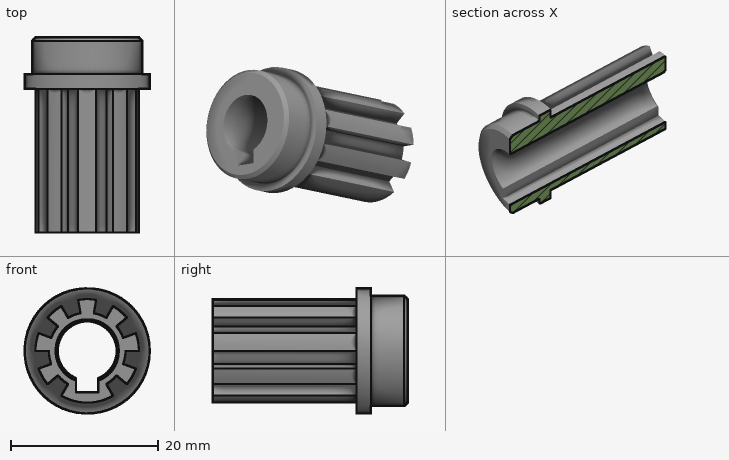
import cadquery as cq
import math

total_length = 26.5
head_length = 5.0
flange_thickness = 2.0
spline_length = total_length - head_length - flange_thickness

head_diameter = 15.0
flange_diameter = 17.0
spline_diameter = 14.05
root_diameter = 10.4
bore_diameter = 8.0

head_chamfer = 0.5
bore_chamfer = 0.3

keyway_width = 3.0
keyway_depth = 5.6

divisions = 9
pitch_angle = 360 / divisions
groove_angle = pitch_angle / 2
bottom_angle = 270


def cylinder(diameter, start, length):
    """Solid cylinder on the Y axis, running from start toward +Y."""
    plane = cq.Workplane("XZ", origin=(0, start, 0))
    return plane.circle(diameter / 2).extrude(-length)


def polar(radius, angle):
    """Point in the XZ plane at an angle in degrees from +X."""
    turn = math.radians(angle)
    return radius * math.cos(turn), radius * math.sin(turn)


def groove(center_angle):
    """Ring sector with radial walls, running along the splined shaft."""
    inner = root_diameter / 2
    outer = flange_diameter / 2
    start = center_angle - groove_angle / 2
    end = center_angle + groove_angle / 2
    return (
        cq.Workplane("XZ")
        .moveTo(*polar(inner, start))
        .lineTo(*polar(outer, start))
        .threePointArc(polar(outer, center_angle), polar(outer, end))
        .lineTo(*polar(inner, end))
        .threePointArc(polar(inner, center_angle), polar(inner, start))
        .close()
        .extrude(-spline_length)
    )


body = cylinder(spline_diameter, 0, spline_length)
for index in range(1, divisions):
    body = body.cut(groove(bottom_angle + index * pitch_angle))

flange = cylinder(flange_diameter, spline_length, flange_thickness)
head = cylinder(head_diameter, spline_length + flange_thickness, head_length)
head = head.faces(">Y").chamfer(head_chamfer)
body = body.union(flange).union(head)

body = body.cut(cylinder(bore_diameter, 0, total_length))
bore_rims = cq.selectors.RadiusNthSelector(0)
body = body.faces("<Y").edges(bore_rims).chamfer(bore_chamfer)

keyway = (
    cq.Workplane("XZ")
    .center(0, -keyway_depth / 2)
    .rect(keyway_width, keyway_depth)
    .extrude(-total_length)
)
result = body.cut(keyway)